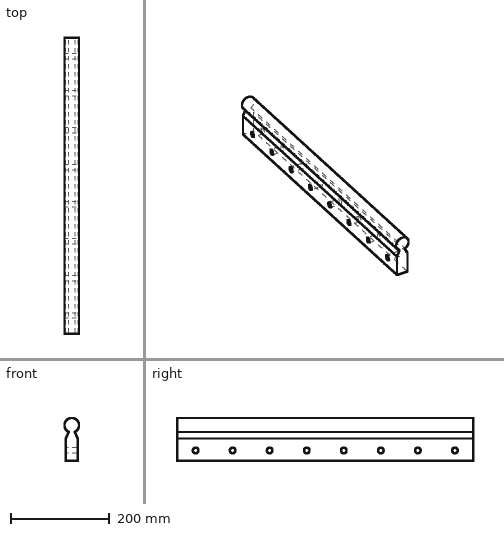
import cadquery as cq
import math

length = 600.0

head_diameter = 30.0
head_center_height = 72.0
foot_width = 25.0
foot_height = 45.0
neck_width = 12.7

hole_diameter = 11.0
hole_count = 8
hole_pitch = length / hole_count
hole_height = 21.0

head_radius = head_diameter / 2
neck_half_width = neck_width / 2
neck_height = head_center_height - math.sqrt(head_radius**2 - neck_half_width**2)


def make_rail():
    """Extrude the closed cross-section along the full length, centred on Y = 0."""
    foot_half_width = foot_width / 2
    head_top = head_center_height + head_radius
    return (
        cq.Workplane("XZ")
        .moveTo(-foot_half_width, 0)
        .lineTo(foot_half_width, 0)
        .lineTo(foot_half_width, foot_height)
        .lineTo(neck_half_width, neck_height)
        .threePointArc((0, head_top), (-neck_half_width, neck_height))
        .lineTo(-foot_half_width, foot_height)
        .close()
        .extrude(length / 2, both=True)
    )


def make_cross_holes():
    """Evenly spaced cylinders along X, half a pitch in from each end of the rail."""
    return (
        cq.Workplane("YZ")
        .center(0, hole_height)
        .rarray(hole_pitch, 1, hole_count, 1)
        .circle(hole_diameter / 2)
        .extrude(foot_width, both=True)
    )


result = make_rail().cut(make_cross_holes())